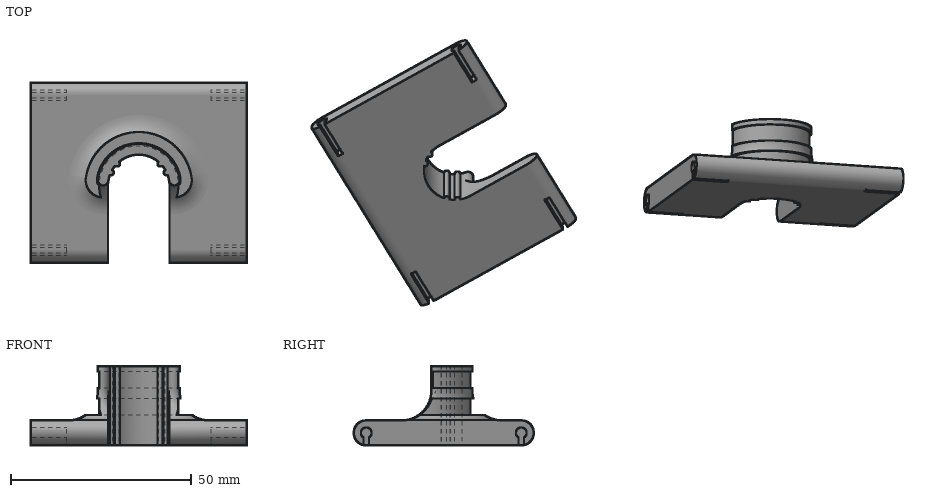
import math

import cadquery as cq

plate_length = 60.0
plate_width = 50.0
plate_thickness = 7.0
edge_radius = plate_thickness / 2

channel_diameter = 3.0
channel_depth = 10.0
channel_slit_width = 1.5
channel_y = plate_width / 2 - edge_radius

total_height = 22.0
collar_y = -3.5
bore_radius = 8.5
collar_radius = 11.5
wall_middle_radius = (bore_radius + collar_radius) / 2
wall_end_radius = (collar_radius - bore_radius) / 2
wall_end_rise = 1.5
wall_end_angle = math.degrees(math.asin(wall_end_rise / wall_middle_radius))
wall_end_x = wall_middle_radius * math.cos(math.radians(wall_end_angle))
wall_end_y = collar_y + wall_end_rise

flare_radius = 8.0
flare_top = plate_thickness + flare_radius

groove_radius = 11.0
neck_bottom = 8.5
neck_top = 13.0
band_bottom = 15.9
band_top = 20.5
groove_reach = 2 * collar_radius

ridge_radius = 0.8
ridge_angles = (25.0, 45.0)


def make_plate():
    return (
        cq.Workplane("YZ")
        .center(0, edge_radius)
        .slot2D(plate_width, plate_thickness)
        .extrude(plate_length / 2, both=True)
    )


def make_channel(y):
    """Blind keyhole channel cut inwards from the -X end face."""
    end_face = cq.Workplane("YZ", origin=(-plate_length / 2, y, 0))
    bore = end_face.center(0, edge_radius).circle(channel_diameter / 2).extrude(channel_depth)
    slit = end_face.center(0, edge_radius / 2).rect(channel_slit_width, edge_radius)
    return bore.union(slit.extrude(channel_depth))


def make_flared_wall(inner_radius, outer_radius, angle):
    """Wall revolved about Z from the XZ plane, flaring outwards onto the plate top."""
    foot_radius = outer_radius + flare_radius
    diagonal = flare_radius * math.sqrt(0.5)
    return (
        cq.Workplane("XZ")
        .moveTo(inner_radius, 0)
        .lineTo(foot_radius, 0)
        .lineTo(foot_radius, plate_thickness)
        .threePointArc((foot_radius - diagonal, flare_top - diagonal), (outer_radius, flare_top))
        .lineTo(outer_radius, total_height)
        .lineTo(inner_radius, total_height)
        .close()
        .revolve(angle, (0, 0, 0), (0, -1, 0))
    )


def make_collar():
    sweep_angle = 180 - 2 * wall_end_angle
    collar = make_flared_wall(bore_radius, collar_radius, sweep_angle)
    collar = collar.rotate((0, 0, 0), (0, 0, 1), 180 - wall_end_angle)
    collar = collar.translate((0, collar_y, 0))
    wall_end = make_flared_wall(0, wall_end_radius, 360)
    for side in (-1, 1):
        collar = collar.union(wall_end.translate((side * wall_end_x, wall_end_y, 0)))
    return collar


def make_groove(bottom, top):
    return (
        cq.Workplane("XY", origin=(0, collar_y, bottom))
        .circle(groove_reach)
        .circle(groove_radius)
        .extrude(top - bottom)
    )


def make_opening():
    """Bore through the collar and plate, with a slot of the same width out to the front edge."""
    bore = cq.Workplane("XY", origin=(0, collar_y, 0)).circle(bore_radius).extrude(total_height)
    slot_length = plate_width / 2 + collar_y
    slot = cq.Workplane("XY").box(
        2 * bore_radius, slot_length, total_height, centered=(True, False, False)
    )
    return bore.union(slot.translate((0, -plate_width / 2, 0)))


def make_ridge(angle):
    x = bore_radius * math.cos(math.radians(angle))
    y = collar_y + bore_radius * math.sin(math.radians(angle))
    return cq.Workplane("XY", origin=(x, y, 0)).circle(ridge_radius).extrude(total_height)


result = make_plate().union(make_collar())
result = result.cut(make_groove(neck_bottom, neck_top))
result = result.cut(make_groove(band_bottom, band_top))
result = result.cut(make_opening())
for ridge_angle in ridge_angles:
    for angle in (ridge_angle, 180 - ridge_angle):
        result = result.union(make_ridge(angle))
for y in (-channel_y, channel_y):
    channel = make_channel(y)
    result = result.cut(channel).cut(channel.mirror("YZ"))